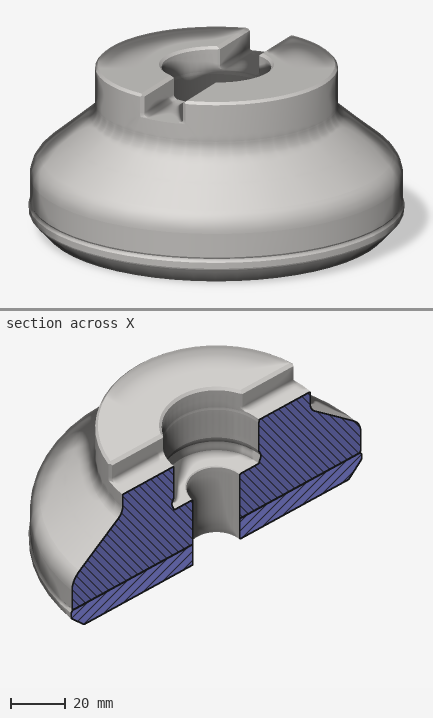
import cadquery as cq
import math

TOTAL_HEIGHT = 63.0
JOINT_HEIGHT = 10.5
SLOT_FLOOR = 54.2
CONE_BOTTOM = 28.0

BASE_RADIUS = 68.9
BASE_BOTTOM_RADIUS = 62.7
BASE_SLOPE_TOP = 6.3
BASE_EDGE_BREAK = 0.5
BASE_EDGE_SETBACK = 0.3
BASE_RIM_TOP = 9.2
JOINT_RADIUS = 68.1

SKIRT_RADIUS = 137.0 / 2
SKIRT_BOTTOM = 11.2
NECK_RADIUS = 89.0 / 2
CONE_ANGLE = math.radians(40)
SHOULDER_ROUND = 10.0
NECK_ROUND = 6.0
RIM_CHAMFER = 1.0

HOLE_RADIUS = 22.0 / 2
HOLE_CHAMFER = 0.4
BORE_ENTRY_RADIUS = 40.2 / 2
BORE_RADIUS = 40.0 / 2
BORE_STEP_TOP = 53.6
BORE_STEP_BOTTOM = 52.5
RELIEF_TOP = 38.7
RELIEF_DEPTH = 1.1
BORE_FLOOR = 32.5
RELIEF_MIDDLE = 35.8

SLOT_WIDTH = 16.0
SLOT_FLOOR_ROUND = 1.5
SLOT_CHAMFER = 1.4
BORE_CORNER_DEPTH = 0.3
BORE_CORNER_WIDENING = 0.7


def make_base():
    """Base ring, symmetrical about Z."""
    return (
        cq.Workplane("XZ")
        .moveTo(HOLE_RADIUS, 0)
        .lineTo(BASE_BOTTOM_RADIUS, 0)
        .lineTo(BASE_RADIUS - BASE_EDGE_SETBACK, BASE_SLOPE_TOP)
        .lineTo(BASE_RADIUS, BASE_SLOPE_TOP + BASE_EDGE_BREAK)
        .lineTo(BASE_RADIUS, BASE_RIM_TOP)
        .lineTo(JOINT_RADIUS, JOINT_HEIGHT)
        .lineTo(HOLE_RADIUS, JOINT_HEIGHT)
        .close()
        .revolve(360, (0, 0, 0), (0, 1, 0))
    )


def make_hub_blank():
    """Solid of revolution with the outer outline of the hub and its stepped bore."""
    turn = math.pi / 2 - CONE_ANGLE
    tangent_drop = 1 - math.cos(turn)
    half_drop = 1 - math.cos(turn / 2)

    shoulder_radius = SKIRT_RADIUS - SHOULDER_ROUND * tangent_drop
    shoulder_start = CONE_BOTTOM - SHOULDER_ROUND * math.sin(turn)
    shoulder_mid = (
        SKIRT_RADIUS - SHOULDER_ROUND * half_drop,
        shoulder_start + SHOULDER_ROUND * math.sin(turn / 2),
    )
    neck_round_radius = NECK_RADIUS + NECK_ROUND * tangent_drop
    cone_top = CONE_BOTTOM + (shoulder_radius - neck_round_radius) * math.tan(CONE_ANGLE)
    neck_start = cone_top + NECK_ROUND * math.sin(turn)
    neck_mid = (
        NECK_RADIUS + NECK_ROUND * half_drop,
        neck_start - NECK_ROUND * math.sin(turn / 2),
    )

    return (
        cq.Workplane("XZ")
        .moveTo(HOLE_RADIUS, JOINT_HEIGHT)
        .lineTo(JOINT_RADIUS, JOINT_HEIGHT)
        .lineTo(SKIRT_RADIUS, SKIRT_BOTTOM)
        .lineTo(SKIRT_RADIUS, shoulder_start)
        .threePointArc(shoulder_mid, (shoulder_radius, CONE_BOTTOM))
        .lineTo(neck_round_radius, cone_top)
        .threePointArc(neck_mid, (NECK_RADIUS, neck_start))
        .lineTo(NECK_RADIUS, TOTAL_HEIGHT - RIM_CHAMFER)
        .lineTo(NECK_RADIUS - RIM_CHAMFER, TOTAL_HEIGHT)
        .lineTo(BORE_ENTRY_RADIUS + RIM_CHAMFER, TOTAL_HEIGHT)
        .lineTo(BORE_ENTRY_RADIUS, TOTAL_HEIGHT - RIM_CHAMFER)
        .lineTo(BORE_ENTRY_RADIUS, BORE_STEP_TOP)
        .lineTo(BORE_RADIUS, BORE_STEP_BOTTOM)
        .lineTo(BORE_RADIUS, RELIEF_TOP)
        .lineTo(BORE_RADIUS + RELIEF_DEPTH, RELIEF_MIDDLE)
        .lineTo(BORE_RADIUS, BORE_FLOOR)
        .lineTo(HOLE_RADIUS + HOLE_CHAMFER, BORE_FLOOR)
        .lineTo(HOLE_RADIUS, BORE_FLOOR - HOLE_CHAMFER)
        .close()
        .revolve(360, (0, 0, 0), (0, 1, 0))
    )


def make_slot_cutter():
    """Slot with rounded floor corners and flared top edges."""
    length = 2 * BASE_RADIUS
    half_width = SLOT_WIDTH / 2
    flare_bottom = TOTAL_HEIGHT - RIM_CHAMFER
    channel = (
        cq.Workplane("XY")
        .box(SLOT_WIDTH, length, TOTAL_HEIGHT - SLOT_FLOOR, centered=(True, True, False))
        .translate((0, 0, SLOT_FLOOR))
        .edges("|Y and <Z")
        .fillet(SLOT_FLOOR_ROUND)
    )
    flare = (
        cq.Workplane("XZ")
        .polyline([
            (-half_width, flare_bottom),
            (half_width, flare_bottom),
            (half_width + SLOT_CHAMFER, TOTAL_HEIGHT),
            (-half_width - SLOT_CHAMFER, TOTAL_HEIGHT),
        ])
        .close()
        .extrude(length / 2, both=True)
    )
    return channel.union(flare)


def make_corner_cutter(radius, depth, widening, direction):
    """Flared slot ends that bevel the walls at a round face of the given radius.

    The flare starts at depth behind the wall corner and widens along Y, outward (direction 1)
    or toward the axis (direction -1); the slot floor itself stays flat.
    """
    half_width = SLOT_WIDTH / 2
    wall_y = math.sqrt(radius**2 - half_width**2)
    face_y = math.sqrt(radius**2 - (half_width + widening) ** 2)
    start_y = wall_y - direction * depth
    flare_length = direction * (face_y - start_y)
    flare_angle = math.degrees(math.atan2(widening, flare_length))

    arc_inset = SLOT_FLOOR_ROUND * (1 - math.sqrt(0.5))
    floor_half_width = half_width - SLOT_FLOOR_ROUND
    arc_top = SLOT_FLOOR + SLOT_FLOOR_ROUND
    arc_mid_x = half_width - arc_inset
    arc_mid_z = SLOT_FLOOR + arc_inset
    flare = (
        cq.Workplane(cq.Plane((0, start_y, 0), (-direction, 0, 0), (0, direction, 0)))
        .moveTo(-half_width, TOTAL_HEIGHT)
        .lineTo(-half_width, arc_top)
        .threePointArc((-arc_mid_x, arc_mid_z), (-floor_half_width, SLOT_FLOOR))
        .lineTo(floor_half_width, SLOT_FLOOR)
        .threePointArc((arc_mid_x, arc_mid_z), (half_width, arc_top))
        .lineTo(half_width, TOTAL_HEIGHT)
        .close()
        .extrude(2 * flare_length, taper=-flare_angle)
    )
    above_floor = (
        cq.Workplane("XY", origin=(0, 0, SLOT_FLOOR))
        .rect(2 * BASE_RADIUS, 2 * BASE_RADIUS)
        .extrude(TOTAL_HEIGHT)
    )
    flare = flare.intersect(above_floor)
    return flare.union(flare.mirror("XZ"))


def make_hub():
    slotted = make_hub_blank().cut(make_slot_cutter())
    outer_bevels = make_corner_cutter(NECK_RADIUS, RIM_CHAMFER, SLOT_CHAMFER, 1)
    inner_bevels = make_corner_cutter(BORE_ENTRY_RADIUS, BORE_CORNER_DEPTH, BORE_CORNER_WIDENING, -1)
    return slotted.cut(outer_bevels).cut(inner_bevels)


base = make_base()
hub = make_hub()
result = cq.Compound.makeCompound([base.val(), *hub.vals()])